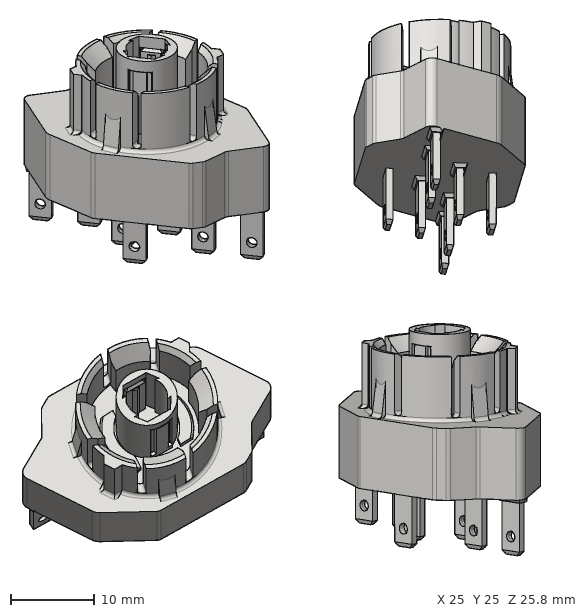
import cadquery as cq
import math


base_height = 8.81
base_half = 12.5
wing_x = 10.62
tip_low_y = 1.85
tip_high_y = 3.58
flank_corner_x = 6.42
flank_angle = 60
small_corner_radius = 1.0
flank_corner_radius = 2.0

ring_radius = 8.55
ring_inner_radius = 7.35
ring_rim_radius = 8.01
ring_height = 7.96
root_fillet = 0.5
key_reach = 9.43
key_tip_half = 0.72
key_root_half = 1.24
diagonal_angles = (45, 135, 225, 315)
slot_width = 1.0
slot_offset = 3.0
slot_floor = 0.5
slot_inner_end = 6.31
hook_radius = 6.25
hook_half_angle = 20

rib_width = 2.05
rib_meets_ring = 3.95
rib_foot_reach = 9.02

post_radius = 3.69
post_height = 9.85
hex_corner_radius = 3.22
land_radius = 2.53
land_angles = (60, 240)
land_half_angle = 36
land_flank_radius = 2.9
land_flank_half_angle = 28.8
window_half_width = 1.52
window_top = 8.35
contact_angles = (150, 330)
contact_half_width = 0.85
contact_foot_half_width = 1.45
contact_foot_height = 0.75
contact_outer = 3.58
contact_wall = 2.78
tongue_half_width = 1.35
contact_lead_in = 0.34
ridge_reach = 2.2
ridge_half_width = 1.15

boss_inner_radius = 3.97
boss_outer_radius = 5.67
boss_outer_start = 16
boss_outer_end = 108
boss_inner_start = 8
boss_inner_end = 97
boss_heel = (4.65, 0)
boss_toe = (-1.88, 4.95)
boss_height = 0.75
boss_chamfer = 0.25

blade_angle = 60
blade_width = 2.78
blade_thickness = 0.88
blade_length = 7.04
long_blade_width = 2.83
long_blade_length = 7.1
blade_tip_height = 0.52
blade_tip_width_cut = 0.5
blade_tip_thickness_cut = 0.18
blade_hole_diameter = 1.3
blade_hole_height = 2.27
collar_height = 0.5
collar_bottom_margin = 0.18
collar_top_margin = 0.45
collared_blades = ((8.58, 10.75), (5.46, 5.55), (-0.6, 3.07))
plain_blades = ((-5.46, 3.07),)

ring_top = base_height + ring_height


def polar(radius, angle):
    turn = math.radians(angle)
    return (radius * math.cos(turn), radius * math.sin(turn))


def turned(shape, angle):
    return shape.rotate((0, 0, 0), (0, 0, 1), angle)


def half_turn_pair(shape):
    return shape.union(turned(shape, 180))


def plane_at(height):
    return cq.Workplane("XY").workplane(offset=height)


def make_base():
    slope = math.tan(math.radians(flank_angle))
    flank_y = -tip_low_y + (base_half - flank_corner_x) * slope
    shoulder = (-flank_corner_x + (base_half - flank_y) * slope, base_half)
    small_corners = [
        (-base_half, -tip_low_y),
        (-flank_corner_x, flank_y),
        (wing_x, base_half),
        (wing_x, tip_high_y + (base_half - wing_x) * slope),
        (base_half, tip_high_y),
    ]
    half = small_corners[:2] + [shoulder] + small_corners[2:]
    outline = half + [(-x, -y) for x, y in half]
    base = cq.Workplane("XY").polyline(outline).close().extrude(base_height)

    def round_corners(body, points, radius):
        for x, y in points:
            for side in (1, -1):
                spot = (side * x, side * y, base_height / 2)
                body = body.edges(cq.selectors.NearestToPointSelector(spot)).fillet(radius)
        return body

    base = round_corners(base, small_corners, small_corner_radius)
    return round_corners(base, [shoulder], flank_corner_radius)


def flared_section(face, inner):
    """Start of a radial section: along the base top, then up a concave foot to the face."""
    arc_mid = root_fillet * (1 - math.sqrt(0.5))
    return (
        cq.Workplane("XZ")
        .moveTo(inner, base_height)
        .lineTo(face + root_fillet, base_height)
        .threePointArc((face + arc_mid, base_height + arc_mid), (face, base_height + root_fillet))
    )


def make_ring():
    """Ring with a 45 degree ramp from its rim, left thick only at the hooks."""
    outline = (
        flared_section(ring_radius, hook_radius)
        .lineTo(ring_radius, ring_top)
        .lineTo(ring_rim_radius, ring_top)
        .lineTo(hook_radius, ring_top - (ring_rim_radius - hook_radius))
    )
    ring = outline.close().revolve(360, (0, 0, 0), (0, 1, 0))
    reach = 2 * ring_radius
    gap_half_angle = 45 - hook_half_angle
    gap = (
        cq.Workplane("XY")
        .polyline([(0, 0), polar(reach, -gap_half_angle), polar(reach, gap_half_angle)])
        .close()
        .extrude(ring_top)
        .intersect(cq.Workplane("XY").circle(ring_inner_radius).extrude(ring_top))
    )
    for angle in diagonal_angles:
        ring = ring.cut(turned(gap, angle + 45))
    return ring


def make_key():
    """Trapezoidal key, flared at its foot where it stands on the base."""
    inner_y = (ring_rim_radius + ring_radius) / 2
    half_outline = [
        (key_root_half, inner_y),
        (key_root_half, ring_radius),
        (key_tip_half, key_reach),
    ]
    outline = half_outline + [(-x, y) for x, y in reversed(half_outline)]
    key = plane_at(base_height).polyline(outline).close().extrude(ring_height)
    footing_depth = key_reach + 3 * root_fillet - inner_y
    footing = (
        cq.Workplane("XY")
        .center(0, inner_y + footing_depth / 2)
        .rect(2 * (key_root_half + root_fillet), footing_depth)
        .extrude(base_height)
    )
    key = footing.union(key)

    def is_root_edge(edge):
        middle = edge.Center()
        at_base = abs(middle.z - base_height) < 0.003
        beside_key = abs(middle.x) < key_root_half and ring_radius < middle.y < key_reach + root_fillet
        return at_base and beside_key

    roots = key.edges().filter(is_root_edge)
    return half_turn_pair(roots.fillet(root_fillet))


def make_slot_pair(angle):
    """Two round-bottomed slots parallel to the diagonal."""
    bottom = base_height + slot_floor
    depth = ring_top - bottom
    radius = slot_width / 2
    length = ring_radius + root_fillet - slot_inner_end
    pair = cq.Workplane("XY")
    for offset in (-slot_offset, slot_offset):
        slot = (
            cq.Workplane("YZ")
            .workplane(offset=slot_inner_end)
            .moveTo(offset - radius, bottom + depth)
            .lineTo(offset - radius, bottom + radius)
            .threePointArc((offset, bottom), (offset + radius, bottom + radius))
            .lineTo(offset + radius, bottom + depth)
            .close()
            .extrude(length)
        )
        pair = pair.add(slot)
    return turned(pair.combine(), angle)


def make_rib(angle):
    """Wedge leaning on the ring, with a concave foot."""
    foot = base_height + root_fillet
    lean = (rib_meets_ring - root_fillet) / (rib_foot_reach - ring_radius)
    embedded_radius = (ring_radius + ring_rim_radius) / 2
    rib = (
        flared_section(rib_foot_reach, embedded_radius)
        .lineTo(embedded_radius, foot + lean * (rib_foot_reach - embedded_radius))
        .close()
        .extrude(rib_width / 2, both=True)
    )
    return turned(rib, angle)


def make_bore():
    """Hexagonal bore with two opposite corners filled by round, undercut lands."""
    bore = plane_at(base_height).moveTo(hex_corner_radius, 0)
    for angle in land_angles:
        bore = (
            bore.lineTo(*polar(land_flank_radius, angle - land_flank_half_angle))
            .lineTo(*polar(land_radius, angle - land_half_angle))
            .threePointArc(polar(land_radius, angle), polar(land_radius, angle + land_half_angle))
            .lineTo(*polar(land_flank_radius, angle + land_flank_half_angle))
            .lineTo(*polar(hex_corner_radius, angle + 60))
        )
        if angle == land_angles[0]:
            bore = bore.lineTo(*polar(hex_corner_radius, angle + 120))
    return bore.close().extrude(post_height)


def make_window(angle):
    window = plane_at(base_height).rect(post_radius, 2 * window_half_width).extrude(window_top)
    return turned(window.translate((post_radius, 0, 0)), angle)


def make_contact(angle):
    """Plate in the window on a wider foot, with a ridged tongue standing into the bore."""
    depth = contact_outer - contact_wall
    middle = (contact_outer + contact_wall) / 2
    plate = plane_at(base_height).rect(depth, 2 * contact_half_width).extrude(window_top)
    foot = plane_at(base_height).rect(depth, 2 * contact_foot_half_width).extrude(contact_foot_height)
    plate = plate.union(foot).translate((middle, 0, 0))
    tongue = plane_at(base_height).rect(2 * contact_lead_in, 2 * tongue_half_width).extrude(window_top)
    tongue = tongue.translate((contact_wall, 0, 0))
    tongue = tongue.faces(">Z").edges("<X or |X").chamfer(contact_lead_in)
    ridge = [(contact_wall, -ridge_half_width), (ridge_reach, 0), (contact_wall, ridge_half_width)]
    ridge = plane_at(base_height).polyline(ridge).close().extrude(window_top - 2 * contact_lead_in)
    return turned(plate.union(tongue).union(ridge), angle)


def make_post():
    post = plane_at(base_height).circle(post_radius).extrude(post_height).cut(make_bore())
    for angle in contact_angles:
        post = post.cut(make_window(angle)).union(make_contact(angle))
    return post


def make_bosses():
    outer_mid = (boss_outer_start + boss_outer_end) / 2
    inner_mid = (boss_inner_start + boss_inner_end) / 2
    boss = (
        plane_at(base_height)
        .moveTo(*polar(boss_outer_radius, boss_outer_start))
        .threePointArc(polar(boss_outer_radius, outer_mid), polar(boss_outer_radius, boss_outer_end))
        .lineTo(*boss_toe)
        .lineTo(*polar(boss_inner_radius, boss_inner_end))
        .threePointArc(polar(boss_inner_radius, inner_mid), polar(boss_inner_radius, boss_inner_start))
        .lineTo(*boss_heel)
        .close()
        .extrude(boss_height)
    )
    boss_top = base_height + boss_height
    outer_edge = cq.selectors.NearestToPointSelector((*polar(boss_outer_radius, outer_mid), boss_top))
    return half_turn_pair(boss.faces(">Z").edges(outer_edge).chamfer(boss_chamfer))


def make_blade(width, length):
    shank_end = blade_tip_height - length
    shank = cq.Workplane("XY").rect(width, blade_thickness).extrude(shank_end)
    tip_width = width - 2 * blade_tip_width_cut
    tip_thickness = blade_thickness - 2 * blade_tip_thickness_cut
    tip = (
        plane_at(shank_end)
        .rect(width, blade_thickness)
        .workplane(offset=-blade_tip_height)
        .rect(tip_width, tip_thickness)
        .loft(combine=True)
    )
    hole = (
        cq.Workplane("XZ")
        .center(0, blade_hole_height - length)
        .circle(blade_hole_diameter / 2)
        .extrude(blade_thickness, both=True)
    )
    return shank.union(tip).cut(hole)


def make_collar():
    top = 2 * collar_top_margin
    bottom = 2 * collar_bottom_margin
    return (
        cq.Workplane("XY")
        .rect(blade_width + top, blade_thickness + top)
        .workplane(offset=-collar_height)
        .rect(blade_width + bottom, blade_thickness + bottom)
        .loft(combine=True)
    )


def place_terminal(shape, spot):
    return half_turn_pair(turned(shape, blade_angle).translate((*spot, 0)))


base = make_base()
result = base.union(make_ring()).union(make_key())
for angle in diagonal_angles:
    result = result.cut(make_slot_pair(angle))
for angle in diagonal_angles:
    result = result.union(make_rib(angle))
result = result.union(make_post()).union(make_bosses())

below_base = base.translate((0, 0, -base_height))
for spot in collared_blades:
    collar = place_terminal(make_collar(), spot).intersect(below_base)
    result = result.union(collar)
    result = result.union(place_terminal(make_blade(blade_width, blade_length), spot))
for spot in plain_blades:
    result = result.union(place_terminal(make_blade(long_blade_width, long_blade_length), spot))